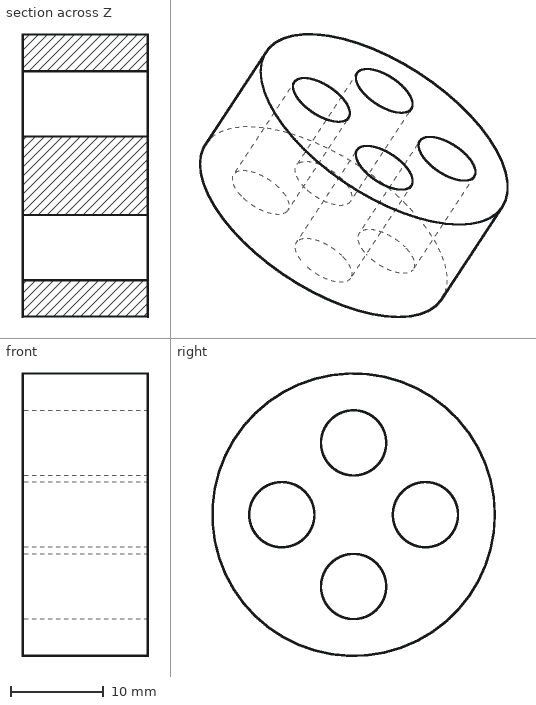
import cadquery as cq

disc_diameter = 30.5
disc_thickness = 13.5
hole_diameter = 7.0
hole_circle_radius = 7.75
hole_count = 4

disc = cq.Workplane("YZ").circle(disc_diameter / 2).extrude(disc_thickness)

holes = (
    cq.Workplane("YZ")
    .polarArray(hole_circle_radius, 0, 360, hole_count)
    .circle(hole_diameter / 2)
    .extrude(disc_thickness)
)

result = disc.cut(holes)